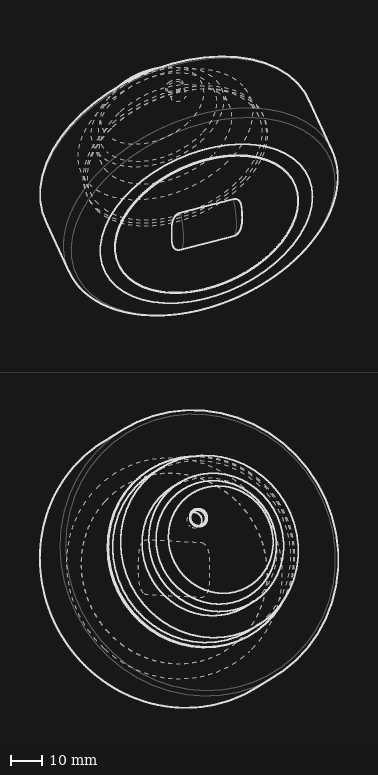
import cadquery as cq
import math

tyre_radius = 46.4
tyre_start = 23.5
tyre_face = 53.6
tyre_edge_fillet = 1.5
tyre_shoulder_fillet = 2.8
tyre_face_radius = 35.9
tyre_cone_angle = math.radians(21.5)

collar_radius = 31.0
collar_start = 22.2
collar_end = 54.0

hub_radius = 29.6
hub_start = 13.0
shaft_radius = 22.5
shaft_start = 5.2
nose_base_radius = 20.0
nose_tip_radius = 17.4

overall_length = 57.0
roller_radius = 14.85
roller_width = 23.7
roller_fillet = 2.9

hole_y = 7.4
hole_z = 6.8
hole_radius = 2.5
hole_depth = 4.6
hole_chamfer = 0.5
drill_point_angle = math.radians(118.0)


def disc(radius, start, end):
    """Cylinder on the X axis between two stations."""
    return cq.Workplane("YZ", origin=(start, 0, 0)).circle(radius).extrude(end - start)


def revolve_about_x(points):
    """Solid of revolution about the X axis from (station, radius) points."""
    return cq.Workplane("XY").polyline(points).close().revolve(360, (0, 0, 0), (1, 0, 0))


def make_tyre():
    """Revolved tyre with a conical shoulder leading to its outer face."""
    cone_run = (tyre_radius - tyre_face_radius) * math.tan(tyre_cone_angle)
    profile = [
        (tyre_start, 0),
        (tyre_start, tyre_radius),
        (tyre_face - cone_run, tyre_radius),
        (tyre_face, tyre_face_radius),
        (tyre_face, 0),
    ]
    tyre = revolve_about_x(profile)
    shoulder = tyre.edges(cq.selectors.RadiusNthSelector(-1)).edges(">X")
    tyre = shoulder.fillet(tyre_shoulder_fillet)
    return tyre.edges("<X").fillet(tyre_edge_fillet)


def make_nose():
    """Tapered nose, narrowest at its tip."""
    profile = [(0, 0), (0, nose_tip_radius), (shaft_start, nose_base_radius), (shaft_start, 0)]
    return revolve_about_x(profile)


def make_roller():
    """Disc with rounded rims, centred on the XZ plane."""
    roller = (
        cq.Workplane("XZ", origin=(overall_length - roller_radius, 0, 0))
        .circle(roller_radius)
        .extrude(roller_width / 2, both=True)
    )
    return roller.edges().fillet(roller_fillet)


def make_hole():
    """Chamfered blind hole with a drill point, opening on the nose face."""
    point_depth = hole_radius / math.tan(drill_point_angle / 2)
    profile = [
        (0, 0),
        (0, hole_radius + hole_chamfer),
        (hole_chamfer, hole_radius),
        (hole_depth, hole_radius),
        (hole_depth + point_depth, 0),
    ]
    return revolve_about_x(profile).translate((0, hole_y, hole_z))


result = (
    make_tyre()
    .union(disc(collar_radius, collar_start, collar_end))
    .union(disc(hub_radius, hub_start, collar_start))
    .union(disc(shaft_radius, shaft_start, hub_start))
    .union(make_nose())
    .union(make_roller())
    .cut(make_hole())
)